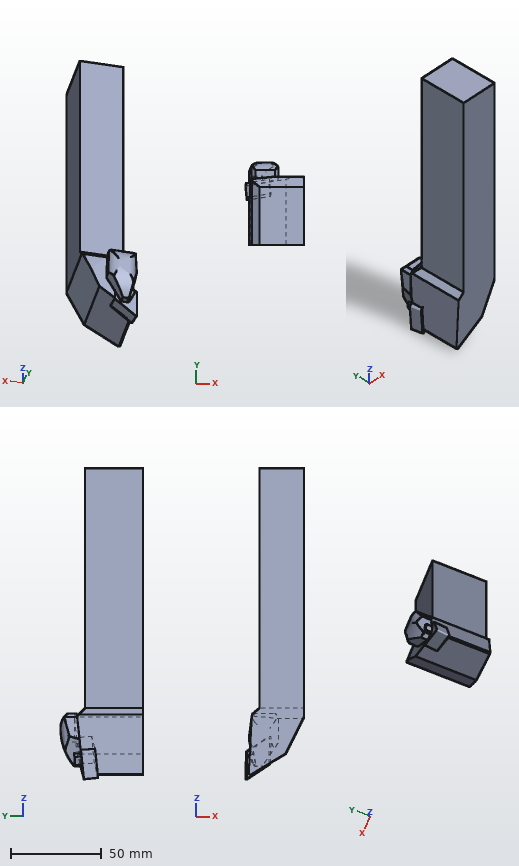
import cadquery as cq
import math


overall_length = 171.4
right_x = 32.4
shank_left_x = 7.7
shank_depth = 32.0
head_depth = 37.7
flare_z = 39.2
flare_rise = 3.5
head_left_x = 3.6
back_relief_z = 34.3
heel_x, heel_z = 22.3, 14.0
nose_left_x, nose_left_z = 1.9, 3.0
nose_low_x, nose_low_z = 2.7, 2.4

rake_slope = 0.1
rake_y = 32.5
block_size = 205.6

insert_side = 15.6
insert_angle = 55.0
insert_lean = 88.5
insert_thickness = 7.9
insert_nose_radius = 0.7
insert_tip_x, insert_tip_z = -0.03, -0.62

clamp_left_x, clamp_right_x = 1.9, 18.3
clamp_bottom_z, clamp_top_z = 7.4, 36.3
clamp_peak_y = 45.5
clamp_peak_z = 28.0
clamp_base_y = 30.8
crown_base = 25.7
facet_corner = (1.9, 39.2, 23.8)
facet_normal = (-19.5, 2.2, -5.0)
tongue_height = 3.6

rake_plane = cq.Plane(
    origin=(0, rake_y, 0),
    xDir=(-1, -rake_slope, 0),
    normal=(-rake_slope, 1, -rake_slope),
)


def prism_along_y(sketch_points, y_start, y_end):
    """Extrude an XZ outline between two Y positions."""
    plane = cq.Workplane("XZ", origin=(0, y_start, 0))
    return plane.polyline(sketch_points).close().extrude(y_start - y_end)


def on_rake(x, z):
    """Local rake-plane coordinates of the rake point at the given X and Z."""
    y = rake_y + rake_slope * (x + z)
    local = rake_plane.toLocalCoords(cq.Vector(x, y, z))
    return local.x, local.y


def rake_half_space():
    """Block filling everything on the +Y side of the rake plane."""
    return cq.Workplane(rake_plane).rect(block_size, block_size).extrude(block_size)


def make_insert():
    """Rhombic plate whose top face lies in the rake plane."""
    side_angle = math.radians(insert_lean)
    end_angle = math.radians(insert_lean - insert_angle)
    side_x, side_z = insert_side * math.cos(side_angle), insert_side * math.sin(side_angle)
    end_x, end_z = insert_side * math.cos(end_angle), insert_side * math.sin(end_angle)
    corners = [
        on_rake(insert_tip_x, insert_tip_z),
        on_rake(insert_tip_x + end_x, insert_tip_z + end_z),
        on_rake(insert_tip_x + end_x + side_x, insert_tip_z + end_z + side_z),
        on_rake(insert_tip_x + side_x, insert_tip_z + side_z),
    ]
    plate = cq.Workplane(rake_plane).polyline(corners).close().extrude(-insert_thickness)
    return plate.edges(cq.selectors.ParallelDirSelector(rake_plane.zDir)).fillet(insert_nose_radius)


def make_shank_and_head():
    """Bent bar: its XZ outline limited by its YZ outline and the rake plane."""
    flare_end_z = flare_z - flare_rise
    outline = [
        (shank_left_x, overall_length),
        (shank_left_x, flare_z),
        (head_left_x, flare_end_z),
        (nose_left_x, nose_left_z),
        (nose_low_x, nose_low_z),
        (heel_x, heel_z),
        (right_x, back_relief_z),
        (right_x, overall_length),
    ]
    bar = prism_along_y(outline, 0, head_depth)
    step = head_depth - shank_depth
    side = (
        cq.Workplane("YZ")
        .polyline([
            (0, 0),
            (head_depth, 0),
            (head_depth, flare_z - step),
            (shank_depth, flare_z),
            (shank_depth, overall_length),
            (0, overall_length),
        ])
        .close()
        .extrude(right_x)
    )
    return bar.intersect(side).cut(rake_half_space())


def make_clamp():
    """Domed clamp: the common volume of its three outlines above the rake plane, with a nose facet."""
    plan = [
        (5.5, clamp_top_z),
        (16.5, clamp_top_z),
        (clamp_right_x, 34.3),
        (clamp_right_x, 20.5),
        (9.5, clamp_bottom_z),
        (clamp_left_x, clamp_bottom_z),
        (clamp_left_x, 22.3),
        (3.5, 34.3),
    ]
    body = prism_along_y(plan, clamp_base_y, clamp_peak_y)
    dome = (
        cq.Workplane("YZ")
        .moveTo(clamp_base_y, clamp_top_z)
        .lineTo(41.5, clamp_top_z)
        .threePointArc((44.5, 32.5), (clamp_peak_y, clamp_peak_z))
        .threePointArc((43.4, 16.3), (38.0, clamp_bottom_z))
        .lineTo(clamp_base_y, clamp_bottom_z)
        .close()
        .extrude(clamp_right_x)
    )
    crown_plane = cq.Plane(origin=(0, 0, 0), xDir=(1, 0, 0), normal=(0, rake_slope, 1))
    crown = (
        cq.Workplane(crown_plane)
        .moveTo(clamp_left_x, crown_base)
        .lineTo(clamp_left_x, 37.7)
        .lineTo(3.8, 40.5)
        .threePointArc((5.0, 41.5), (6.5, 42.2))
        .lineTo(12.0, 42.7)
        .threePointArc((16.0, 41.6), (clamp_right_x, 38.9))
        .lineTo(clamp_right_x, crown_base)
        .close()
        .extrude(overall_length)
    )
    facet = cq.Plane(origin=facet_corner, normal=facet_normal)
    beyond_facet = cq.Workplane(facet).rect(block_size, block_size).extrude(block_size)
    clamp = body.intersect(dome).intersect(crown).intersect(rake_half_space())
    return clamp.cut(beyond_facet)


def make_tongue():
    """Small foot of the clamp that presses on the insert."""
    footprint = [(4.5, 14.7), (8.5, 14.7), (8.5, 7.9), (6.0, 7.4), (4.8, 8.2), (4.0, 10.1), (2.7, 12.7)]
    corners = [on_rake(x, z) for x, z in footprint]
    return cq.Workplane(rake_plane).polyline(corners).close().extrude(tongue_height)


def make_holder(insert):
    """Shank, head and clamp in one piece, with a pocket matching the insert."""
    holder = make_shank_and_head().union(make_clamp()).union(make_tongue())
    return holder.cut(insert)


insert = make_insert()
holder = make_holder(insert)
result = cq.Compound.makeCompound([holder.val(), insert.val()])